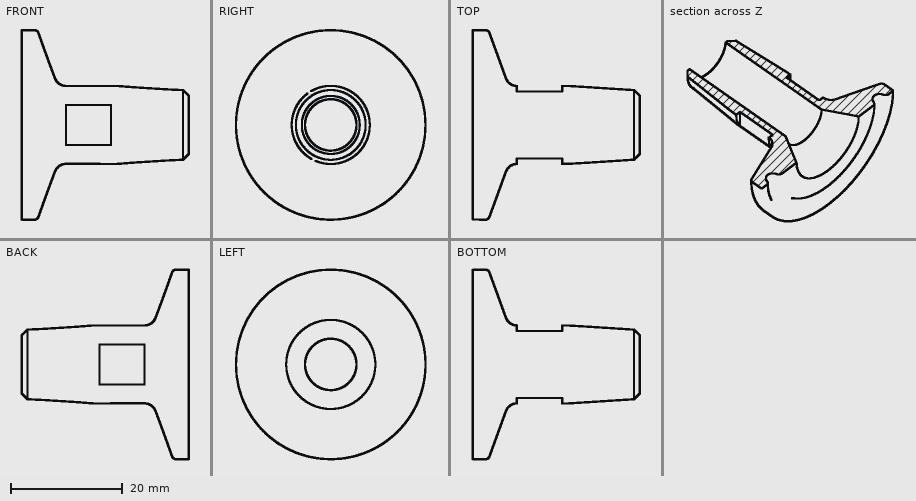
import cadquery as cq
import math

total_length = 30.0
flange_radius = 17.0
cone_angle = math.radians(20)

rim_width = 2.85
rim_back_fillet = 0.78
rim_front_fillet = 0.2

neck_radius = 7.0
neck_fillet = 2.0
taper_start = 17.25
spigot_end_radius = 6.25
end_chamfer = 1.05

bore_radius = 4.6
bore_mouth_radius = 8.0
bore_cone_depth = 6.0

flat_start = 7.95
flat_end = 16.05
flat_distance = 6.02

groove_radius = 13.75
groove_depth = 1.6
groove_floor_radius = 1.2
groove_lip_radius = 0.8
groove_half_width = 2.0
groove_wall_angle = math.radians(20)


def revolve_about_x(profile):
    return profile.close().revolve(360, (0, 0, 0), (1, 0, 0))


def make_body():
    cone_end = rim_width + (flange_radius - neck_radius) * math.tan(cone_angle)
    profile = cq.Workplane("XY").polyline([
        (0, 0),
        (0, flange_radius),
        (rim_width, flange_radius),
        (cone_end, neck_radius),
        (taper_start, neck_radius),
        (total_length - end_chamfer, spigot_end_radius),
        (total_length, spigot_end_radius - end_chamfer),
        (total_length, 0),
    ])
    body = revolve_about_x(profile)

    def round_edge(solid, x, radius, fillet):
        margin = 0.05
        box = cq.selectors.BoxSelector(
            (x - margin, -radius - margin, -radius - margin),
            (x + margin, radius + margin, radius + margin),
            boundingbox=True,
        )
        return solid.edges(box).edges("%CIRCLE").fillet(fillet)

    body = round_edge(body, cone_end, neck_radius, neck_fillet)
    body = round_edge(body, rim_width, flange_radius, rim_back_fillet)
    return round_edge(body, 0, flange_radius, rim_front_fillet)


def make_bore():
    return revolve_about_x(cq.Workplane("XY").polyline([
        (0, 0),
        (0, bore_mouth_radius),
        (bore_cone_depth, bore_radius),
        (total_length, bore_radius),
        (total_length, 0),
    ]))


def make_groove():
    """Ring with a round floor, sloping walls and rounded lips."""
    lip_center = groove_half_width
    floor_center = groove_depth - groove_floor_radius

    def on_lip(angle, side):
        depth = groove_lip_radius * (1 - math.sin(angle))
        offset = lip_center - groove_lip_radius * math.cos(angle)
        return (depth, groove_radius + side * offset)

    def on_floor(angle, side):
        depth = floor_center + groove_floor_radius * math.sin(angle)
        offset = groove_floor_radius * math.cos(angle)
        return (depth, groove_radius + side * offset)

    lip_middle = (groove_wall_angle + math.pi / 2) / 2
    profile = (
        cq.Workplane("XY")
        .moveTo(0, groove_radius - groove_half_width)
        .threePointArc(on_lip(lip_middle, -1), on_lip(groove_wall_angle, -1))
        .lineTo(*on_floor(groove_wall_angle, -1))
        .threePointArc((groove_depth, groove_radius), on_floor(groove_wall_angle, 1))
        .lineTo(*on_lip(groove_wall_angle, 1))
        .threePointArc(on_lip(lip_middle, 1), (0, groove_radius + groove_half_width))
    )
    return revolve_about_x(profile)


def make_flat_cutter(side):
    depth = neck_radius
    cutter = cq.Workplane("XY").box(flat_end - flat_start, depth, 2 * neck_radius)
    return cutter.translate(((flat_start + flat_end) / 2, side * (flat_distance + depth / 2), 0))


result = make_body().cut(make_bore()).cut(make_groove())
for side in (-1, 1):
    result = result.cut(make_flat_cutter(side))